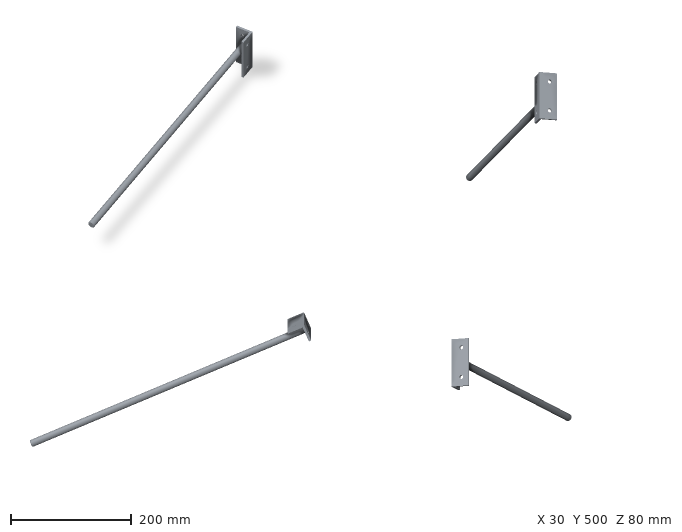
import cadquery as cq

total_length = 500.0
leg_width = 30.0
bracket_height = 80.0
thickness = 4.0
rod_diameter = 12.0
rod_chamfer = 1.0
hole_diameter = 6.5
hole_spacing = 50.0
hole_edge_distance = 12.5

hole_heights = (-hole_spacing / 2, hole_spacing / 2)


def make_angle_bracket():
    """L-shaped profile, extruded along Z and centred on Z = 0."""
    profile = [
        (0, 0),
        (leg_width, 0),
        (leg_width, -leg_width),
        (leg_width - thickness, -leg_width),
        (leg_width - thickness, -thickness),
        (0, -thickness),
    ]
    return cq.Workplane("XY").polyline(profile).close().extrude(bracket_height / 2, both=True)


def make_rod():
    """Round rod from the back leg's front face, in line with that leg's holes."""
    return (
        cq.Workplane("XZ", origin=(hole_edge_distance, -thickness, 0))
        .circle(rod_diameter / 2)
        .extrude(total_length - thickness)
        .faces("<Y")
        .chamfer(rod_chamfer)
    )


def make_hole_cutters():
    """Two cylinders through the back leg and two through the side leg."""
    back_leg_holes = (
        cq.Workplane("XZ")
        .pushPoints([(hole_edge_distance, height) for height in hole_heights])
        .circle(hole_diameter / 2)
        .extrude(thickness)
    )
    hole_y = hole_edge_distance - leg_width
    side_leg_holes = (
        cq.Workplane("YZ", origin=(leg_width - thickness, 0, 0))
        .pushPoints([(hole_y, height) for height in hole_heights])
        .circle(hole_diameter / 2)
        .extrude(thickness)
    )
    return back_leg_holes.add(side_leg_holes).combine()


bracket = make_angle_bracket().cut(make_hole_cutters())
result = bracket.union(make_rod())